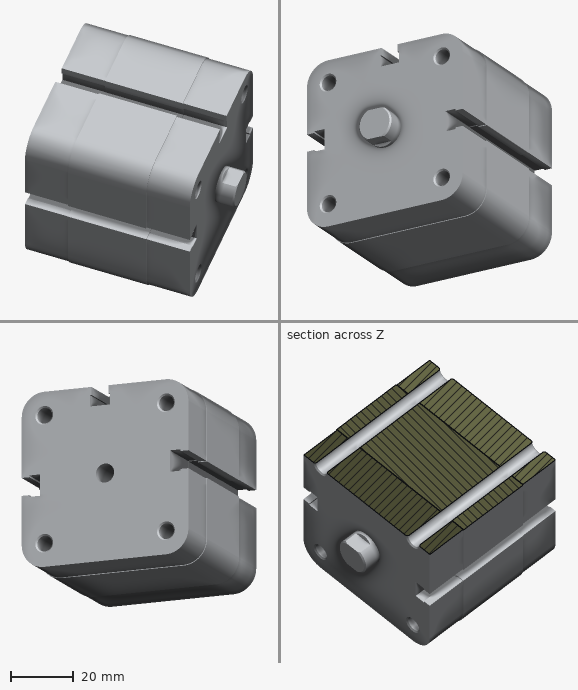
import cadquery as cq

overall_length = 62.5
rod_projection = 6.5
cap_length = 14.75
body_length = overall_length - rod_projection
barrel_length = body_length - 2 * cap_length

barrel_width = 58.0
corner_radius = 8.0
cap_inset = 0.25

slot_offset = 1.75
slot_mouth_width = 5.4
slot_chamber_width = 6.5
slot_lip_depth = 3.1
slot_depth = 6.4
slot_turns = (-90, 0, 90)

hole_pitch = 42.0
hole_diameter = 5.1
hole_chamfer = 0.5

port_diameter = 6.25

rod_diameter = 12.0
rod_chamfer = 0.5
rod_flat_width = 10.0
flat_start = 1.5
flat_runout = 0.5


def slot_cutter(x_start, length, inset):
    """T-slot along the top side, widened on every wall by the inset."""
    half_mouth = slot_mouth_width / 2 + inset
    half_chamber = slot_chamber_width / 2 + inset
    top = barrel_width / 2
    lip = top - slot_lip_depth + inset
    floor = top - slot_depth - inset
    return (
        cq.Workplane("YZ", origin=(x_start, slot_offset, 0))
        .moveTo(-half_mouth, top)
        .lineTo(-half_mouth, lip)
        .lineTo(-half_chamber, lip)
        .lineTo(-half_chamber, floor)
        .lineTo(half_chamber, floor)
        .lineTo(half_chamber, lip)
        .lineTo(half_mouth, lip)
        .lineTo(half_mouth, top)
        .close()
        .extrude(length)
    )


def profile_block(x_start, length, inset):
    """Rounded square length of the cylinder with its T-slots and mounting holes."""
    width = barrel_width - 2 * inset
    block = (
        cq.Workplane("YZ", origin=(x_start, 0, 0))
        .rect(width, width)
        .extrude(length)
        .edges("|X")
        .fillet(corner_radius - inset)
    )
    for turn in slot_turns:
        block = block.cut(slot_cutter(x_start, length, inset).rotate((0, 0, 0), (1, 0, 0), turn))
    holes = (
        cq.Workplane("YZ", origin=(x_start, 0, 0))
        .rect(hole_pitch, hole_pitch, forConstruction=True)
        .vertices()
        .circle(hole_diameter / 2)
        .extrude(length)
    )
    return block.cut(holes)


def chamfer_hole_mouths(cap, outer_face):
    """Chamfer the mounting holes where they open on the outer face of a cap."""
    smallest_circles = cq.selectors.RadiusNthSelector(0)
    return cap.faces(outer_face).edges(smallest_circles).chamfer(hole_chamfer)


def make_rear_cap():
    cap = chamfer_hole_mouths(profile_block(0, cap_length, cap_inset), "<X")
    port = cq.Workplane("YZ").circle(port_diameter / 2).extrude(cap_length)
    return cap.cut(port)


def make_barrel():
    return profile_block(cap_length, barrel_length, 0)


def make_front_cap():
    return chamfer_hole_mouths(profile_block(body_length - cap_length, cap_length, cap_inset), ">X")


def make_rod_end():
    """Rod end standing on the front cap, with two opposite wrench flats facing up and down."""
    rod_radius = rod_diameter / 2
    flat_height = rod_flat_width / 2
    rod = (
        cq.Workplane("YZ", origin=(body_length, 0, 0))
        .circle(rod_radius)
        .extrude(rod_projection)
        .faces(">X")
        .chamfer(rod_chamfer)
    )
    flat_cut = (
        cq.Workplane("XZ", origin=(body_length, 0, 0))
        .moveTo(rod_projection, flat_height)
        .lineTo(flat_start, flat_height)
        .lineTo(flat_start - flat_runout, rod_radius)
        .lineTo(rod_projection, rod_radius)
        .close()
        .extrude(rod_radius, both=True)
    )
    return rod.cut(flat_cut).cut(flat_cut.mirror("XY"))


rear_cap = make_rear_cap()
barrel = make_barrel()
front_cap = make_front_cap()
rod_end = make_rod_end()

result = cq.Compound.makeCompound([rear_cap.val(), barrel.val(), front_cap.val(), rod_end.val()])